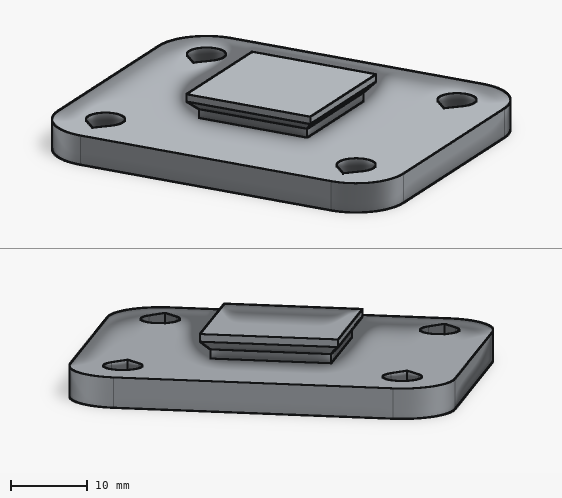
import cadquery as cq
import math

length = 51.0
width = 42.0
plate_thickness = 4.1
corner_radius = 7.0

hole_radius = 2.55

total_height = 7.6
neck_length = 16.0
neck_width = 15.7
rim_side = 18.3
rim_height = 1.0
flare_height = 1.3
rim_bottom = total_height - rim_height
flare_bottom = rim_bottom - flare_height


def make_plate():
    plate = cq.Workplane("XY").box(length, width, plate_thickness, centered=(True, True, False))
    return plate.edges("|Z").fillet(corner_radius)


def make_teardrop(x, y):
    """Round hole whose lower side runs tangentially into a 90 degree point towards -Y."""
    tangent = hole_radius / math.sqrt(2)
    point_reach = hole_radius * math.sqrt(2)
    return (
        cq.Workplane("XY")
        .center(x, y)
        .moveTo(-tangent, -tangent)
        .threePointArc((0, hole_radius), (tangent, -tangent))
        .lineTo(0, -point_reach)
        .close()
        .extrude(plate_thickness)
    )


def make_pad():
    neck = (
        cq.Workplane("XY")
        .workplane(offset=plate_thickness)
        .rect(neck_length, neck_width)
        .extrude(flare_bottom - plate_thickness)
    )
    flare = (
        cq.Workplane("XY")
        .workplane(offset=flare_bottom)
        .rect(neck_length, neck_width)
        .workplane(offset=flare_height)
        .rect(rim_side, rim_side)
        .loft(ruled=True)
    )
    rim = (
        cq.Workplane("XY")
        .workplane(offset=rim_bottom)
        .rect(rim_side, rim_side)
        .extrude(rim_height)
    )
    return neck.union(flare).union(rim)


result = make_plate().union(make_pad())
hole_x = length / 2 - corner_radius
hole_y = width / 2 - corner_radius
for x in (-hole_x, hole_x):
    for y in (-hole_y, hole_y):
        result = result.cut(make_teardrop(x, y))